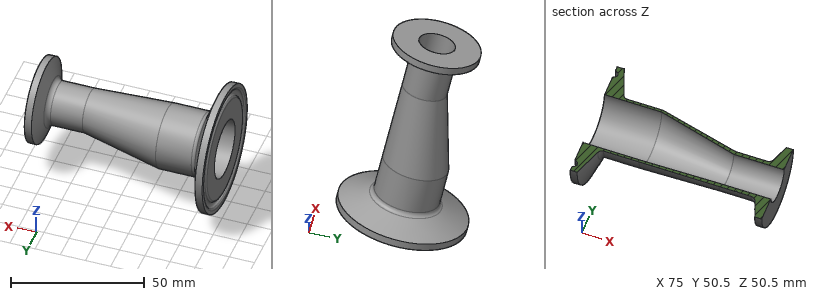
import cadquery as cq
import math

length = 75.0
large_tube_radius = 25.4 / 2
large_bore_radius = 23.0 / 2
small_tube_radius = 17.3 / 2
small_bore_radius = 14.0 / 2
large_flange_radius = 50.5 / 2
small_flange_radius = 34.0 / 2

rim_thickness = 2.85
flange_slope = math.radians(20)
large_neck_fillet = 1.95
small_neck_fillet = 2.25

taper_start = 22.95
taper_end = 54.9
small_axis_y = small_tube_radius - large_tube_radius

groove_center_radius = 21.75
groove_half_width = 1.95
groove_floor_radius = 1.3
groove_lip_radius = 0.75


def tube(radius, start, end, axis_y):
    plane = cq.Workplane("YZ", origin=(start, axis_y, 0))
    return plane.circle(radius).extrude(end - start)


def taper(large_radius, small_radius):
    return (
        cq.Workplane("YZ", origin=(taper_start, 0, 0))
        .circle(large_radius)
        .workplane(offset=taper_end - taper_start)
        .center(small_axis_y, 0)
        .circle(small_radius)
        .loft(ruled=True)
    )


def reducer_body(large_radius, small_radius):
    large_end = tube(large_radius, 0, taper_start, 0)
    small_end = tube(small_radius, taper_end, length, small_axis_y)
    return large_end.union(taper(large_radius, small_radius)).union(small_end)


def revolve_about_x(profile):
    return profile.close().revolve(360, (0, 0, 0), (1, 0, 0))


def flange(rim_radius, tube_radius, fillet):
    """Flange with its face at X = 0 and its sloped back toward +X."""
    corner_x = rim_thickness + (rim_radius - tube_radius) * math.tan(flange_slope)
    neck_end = corner_x + fillet * math.tan((math.pi / 2 - flange_slope) / 2)
    center_r = tube_radius + fillet

    def fillet_point(angle):
        return (neck_end - fillet * math.sin(angle), center_r - fillet * math.cos(angle))

    sweep = math.pi / 2 - flange_slope
    profile = (
        cq.Workplane("XY")
        .lineTo(0, rim_radius)
        .lineTo(rim_thickness, rim_radius)
        .lineTo(*fillet_point(sweep))
        .threePointArc(fillet_point(sweep / 2), (neck_end, tube_radius))
        .lineTo(neck_end, 0)
    )
    return revolve_about_x(profile)


def groove():
    """Ring removed from the face at X = 0."""
    center_distance = groove_floor_radius + groove_lip_radius
    wall_angle = math.asin(groove_half_width / center_distance)
    floor_center_x = groove_lip_radius - center_distance * math.cos(wall_angle)
    depth = floor_center_x + groove_floor_radius

    def lip_point(side, angle):
        x = groove_lip_radius * (1 - math.cos(angle))
        offset = groove_half_width - groove_lip_radius * math.sin(angle)
        return (x, groove_center_radius + side * offset)

    profile = (
        cq.Workplane("XY")
        .moveTo(*lip_point(-1, 0))
        .threePointArc(lip_point(-1, wall_angle / 2), lip_point(-1, wall_angle))
        .threePointArc((depth, groove_center_radius), lip_point(1, wall_angle))
        .threePointArc(lip_point(1, wall_angle / 2), lip_point(1, 0))
    )
    return revolve_about_x(profile)


large_flange = flange(large_flange_radius, large_tube_radius, large_neck_fillet).cut(groove())
small_flange = (
    flange(small_flange_radius, small_tube_radius, small_neck_fillet)
    .mirror("YZ")
    .translate((length, small_axis_y, 0))
)

outside = reducer_body(large_tube_radius, small_tube_radius).union(large_flange).union(small_flange)
result = outside.cut(reducer_body(large_bore_radius, small_bore_radius))